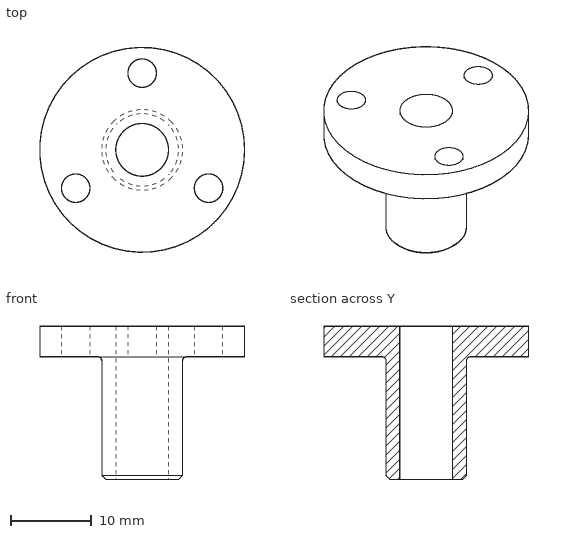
import cadquery as cq

flange_diameter = 25.4
flange_thickness = 3.8
total_height = 19.0
shank_diameter = 10.0
bore_diameter = 6.5
mount_hole_diameter = 3.5
mount_hole_circle_radius = 9.5
mount_hole_count = 3
first_hole_angle = 90.0
root_fillet = 0.5
tip_chamfer = 0.5

shank_length = total_height - flange_thickness

shank = cq.Workplane("XY").circle(shank_diameter / 2).extrude(shank_length)

flange = (
    cq.Workplane("XY")
    .workplane(offset=shank_length)
    .circle(flange_diameter / 2)
    .extrude(flange_thickness)
)

body = shank.union(flange)

root_edge = body.faces("|Z").faces(">Z[1]").edges(cq.selectors.RadiusNthSelector(0))
body = root_edge.fillet(root_fillet)

body = body.faces("<Z").chamfer(tip_chamfer)

body = body.faces(">Z").workplane(origin=(0, 0, 0)).circle(bore_diameter / 2).cutThruAll()

result = (
    body.faces(">Z")
    .workplane(origin=(0, 0, 0))
    .polarArray(mount_hole_circle_radius, first_hole_angle, 360, mount_hole_count)
    .circle(mount_hole_diameter / 2)
    .cutThruAll()
)